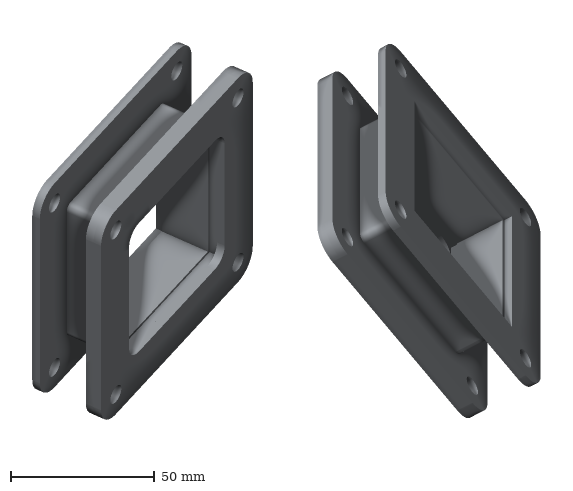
import cadquery as cq

plate_side = 98.4
plate_thickness = 3.15
overall_depth = 28.5
plate_corner_radius = 9.5
bolt_hole_diameter = 7.2
opening_side = 62.0
cover_opening_radius = 6.3
tube_outer_side = 63.5
tube_inner_side = 59.8
tube_corner_radius = 2.7

bolt_spacing = plate_side - 2 * plate_corner_radius
tube_length = overall_depth - 3 * plate_thickness

tube_start = plate_thickness
rear_flange_start = tube_start + tube_length
cover_start = rear_flange_start + plate_thickness


def square_bar(side, start, length):
    """Square bar centred on the X axis, running in +X from start."""
    return cq.Workplane("YZ", origin=(start, 0, 0)).rect(side, side).extrude(length)


def bolted_plate(start):
    """Solid square plate with rounded corners and a bolt hole at each corner."""
    plate = square_bar(plate_side, start, plate_thickness).edges("|X").fillet(plate_corner_radius)
    holes = (
        cq.Workplane("YZ", origin=(start, 0, 0))
        .rect(bolt_spacing, bolt_spacing, forConstruction=True)
        .vertices()
        .circle(bolt_hole_diameter / 2)
        .extrude(plate_thickness)
    )
    return plate.cut(holes)


def make_flange(start):
    """Bolted plate with a sharp-cornered square opening."""
    return bolted_plate(start).cut(square_bar(opening_side, start, plate_thickness))


def make_cover():
    """Bolted plate with a round-cornered square opening."""
    opening = square_bar(opening_side, cover_start, plate_thickness)
    return bolted_plate(cover_start).cut(opening.edges("|X").fillet(cover_opening_radius))


def make_tube():
    """Square tube, rounded outside and sharp inside, butting against both flanges."""
    outside = square_bar(tube_outer_side, tube_start, tube_length)
    bore = square_bar(tube_inner_side, tube_start, tube_length)
    return outside.edges("|X").fillet(tube_corner_radius).cut(bore)


flanges = [make_flange(start).val() for start in (0, rear_flange_start)]
tube = make_tube()
cover = make_cover()

result = cq.Compound.makeCompound([*flanges, tube.val(), cover.val()])